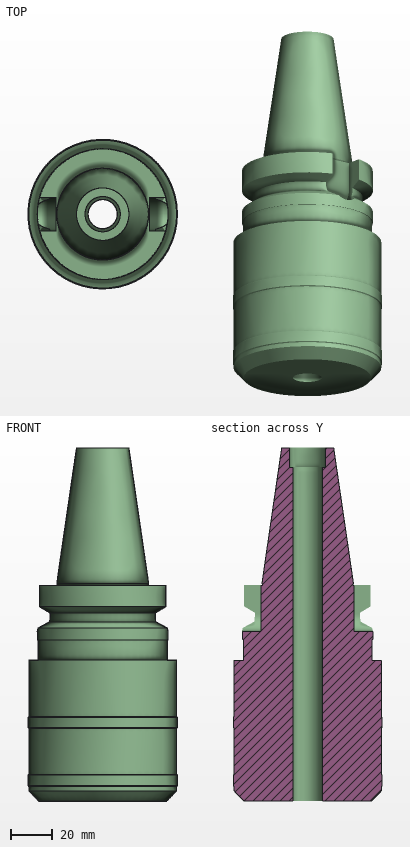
import cadquery as cq

TOTAL_HEIGHT = 170.4
NOSE_CHAMFER_HEIGHT = 5.1
BODY_TOP = 68.2
NECK_TOP = 77.9
LOWER_FLANGE_TOP = 83.5
GROOVE_BOTTOM = 86.5
GROOVE_TOP = 90.8
UPPER_FLANGE_BOTTOM = 93.9
FLANGE_TOP = 104.1
GAUGE_PLANE = 105.1

NOSE_RADIUS = 30.7
BODY_RADIUS = 35.6
NECK_RADIUS = 31.2
FLANGE_RADIUS = 31.5
GROOVE_RADIUS = 26.5
RELIEF_RADIUS = 21.8
GAUGE_RADIUS = 22.2

TAPER_ON_DIAMETER = 7 / 24
SHANK_TOP_RADIUS = GAUGE_RADIUS - (TOTAL_HEIGHT - GAUGE_PLANE) * TAPER_ON_DIAMETER / 2

BAND_DIAMETER = 72.0
BAND_RADIUS = BAND_DIAMETER / 2
BAND_EDGE = BAND_RADIUS - BODY_RADIUS
BAND_SPANS = [(7.2, 13.1), (35.3, 40.9)]

BORE_RADIUS = 7.0
COUNTERBORE_RADIUS = 8.5
COUNTERBORE_DEPTH = 9.4

SLOT_WIDTH = 16.0
SLOT_FLOOR = 22.5
SLOT_BOTTOM = 82.0


def revolve_profile(points):
    """Revolve a (radius, height) outline about the Z axis."""
    return cq.Workplane("XZ").polyline(points).close().revolve(360, (0, 0, 0), (0, 1, 0))


def make_holder():
    return revolve_profile([
        (0, 0),
        (NOSE_RADIUS, 0),
        (BODY_RADIUS, NOSE_CHAMFER_HEIGHT),
        (BODY_RADIUS, BODY_TOP),
        (NECK_RADIUS, BODY_TOP),
        (NECK_RADIUS, NECK_TOP),
        (FLANGE_RADIUS, NECK_TOP),
        (FLANGE_RADIUS, LOWER_FLANGE_TOP),
        (GROOVE_RADIUS, GROOVE_BOTTOM),
        (GROOVE_RADIUS, GROOVE_TOP),
        (FLANGE_RADIUS, UPPER_FLANGE_BOTTOM),
        (FLANGE_RADIUS, FLANGE_TOP),
        (RELIEF_RADIUS, FLANGE_TOP),
        (GAUGE_RADIUS, GAUGE_PLANE),
        (SHANK_TOP_RADIUS, TOTAL_HEIGHT),
        (0, TOTAL_HEIGHT),
    ])


def make_band(bottom, top):
    return revolve_profile([
        (0, bottom),
        (BODY_RADIUS, bottom),
        (BAND_RADIUS, bottom + BAND_EDGE),
        (BAND_RADIUS, top - BAND_EDGE),
        (BODY_RADIUS, top),
        (0, top),
    ])


def make_drive_slot(side):
    """Flat-floored slot with a round lower end; side is -1 or +1 along X."""
    half_width = SLOT_WIDTH / 2
    arc_center = SLOT_BOTTOM + half_width
    return (
        cq.Workplane("YZ", origin=(side * SLOT_FLOOR, 0, 0))
        .moveTo(-half_width, FLANGE_TOP)
        .lineTo(-half_width, arc_center)
        .threePointArc((0, SLOT_BOTTOM), (half_width, arc_center))
        .lineTo(half_width, FLANGE_TOP)
        .close()
        .extrude(side * (FLANGE_RADIUS - SLOT_FLOOR))
    )


result = make_holder()
for band_bottom, band_top in BAND_SPANS:
    result = result.union(make_band(band_bottom, band_top))
for slot_side in (-1, 1):
    result = result.cut(make_drive_slot(slot_side))

result = (
    result.faces(">Z").workplane()
    .cboreHole(2 * BORE_RADIUS, 2 * COUNTERBORE_RADIUS, COUNTERBORE_DEPTH)
)